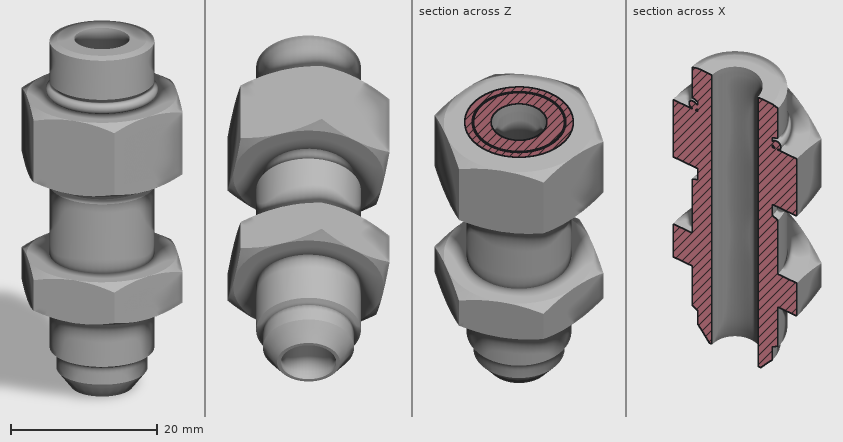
import cadquery as cq
import math

length = 51.3
thread_radius = 7.2
neck_radius = 6.25
top_face_radius = 6.15
nose_tip_radius = 4.3
bore_radius = 3.8

nose_cone_top = 2.55
lower_thread_start = 5.1
lower_thread_full = 5.6
upper_thread_full = 29.7
upper_thread_end = 30.05
port_thread_start = 44.85
port_thread_full = 45.2
top_chamfer_height = 0.3

across_flats = 20.65
across_corners = across_flats / math.cos(math.radians(30))
corner_chamfer_angle = 30.0
lock_nut_bottom = 13.1
lock_nut_top = 19.45
body_hex_bottom = 32.1
body_hex_top = 43.1

ring_outer_radius = 7.7
ring_section_radius = 0.75
ring_embed = 0.025


def turned_body():
    """Stepped shaft with a coned nose, plain thread cylinders and necks."""
    profile = [
        (0, 0),
        (nose_tip_radius, 0),
        (neck_radius, nose_cone_top),
        (neck_radius, lower_thread_start),
        (thread_radius, lower_thread_full),
        (thread_radius, upper_thread_full),
        (neck_radius, upper_thread_end),
        (neck_radius, port_thread_start),
        (thread_radius, port_thread_full),
        (thread_radius, length - top_chamfer_height),
        (top_face_radius, length),
        (0, length),
    ]
    return cq.Workplane("XZ").polyline(profile).close().revolve(360, (0, 0), (0, 1))


def chamfered_hexagon(bottom, top):
    """Hexagon with corners on X, its corners coned off at both ends."""
    prism = (
        cq.Workplane("XY")
        .workplane(offset=bottom)
        .polygon(6, across_corners)
        .extrude(top - bottom)
    )
    face_radius = across_flats / 2
    corner_radius = across_corners / 2
    drop = (corner_radius - face_radius) * math.tan(math.radians(corner_chamfer_angle))
    envelope_profile = [
        (0, bottom),
        (face_radius, bottom),
        (corner_radius, bottom + drop),
        (corner_radius, top - drop),
        (face_radius, top),
        (0, top),
    ]
    envelope = cq.Workplane("XZ").polyline(envelope_profile).close().revolve(360, (0, 0), (0, 1))
    return prism.intersect(envelope)


def sealing_ring():
    """Round-section ring around the neck above the body hexagon."""
    center_radius = ring_outer_radius - ring_section_radius
    center_height = body_hex_top + ring_section_radius - ring_embed
    return (
        cq.Workplane("XZ")
        .center(center_radius, center_height)
        .circle(ring_section_radius)
        .revolve(360, (-center_radius, 0), (-center_radius, 1))
    )


bore = cq.Workplane("XY").circle(bore_radius).extrude(length)

result = (
    turned_body()
    .union(chamfered_hexagon(lock_nut_bottom, lock_nut_top))
    .union(chamfered_hexagon(body_hex_bottom, body_hex_top))
    .union(sealing_ring())
    .cut(bore)
)